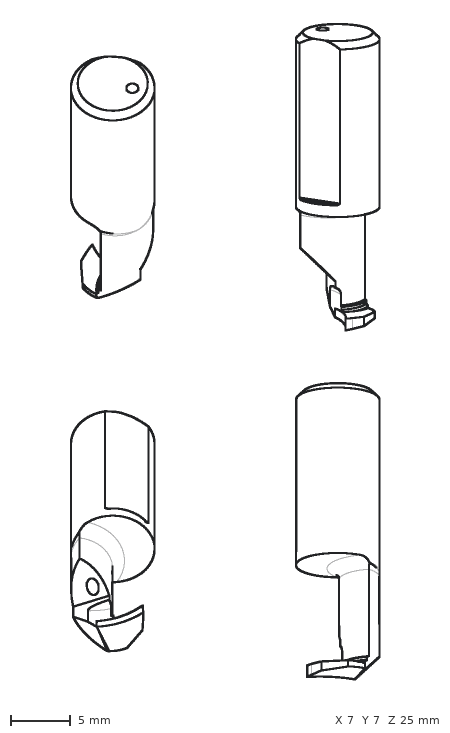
import cadquery as cq
import math


shank_radius = 3.5
total_height = 25.0
shank_bottom = 10.0
top_chamfer = 0.58

flat_direction = 135
flat_distance = 2.88
flat_bottom = 11.0
flat_end_bevel = 0.15

neck_radius = 3.2
neck_left = 0.25
outer_center = shank_radius - neck_radius
inner_center = neck_left + neck_radius
neck_fillet = 1.0
heel_height = 2.18

runout_y = 0.15
runout_height = 3.52

hole_x = 1.42
hole_y = 0.95
hole_diameter = 1.0

collar_top = 1.42
upper_step_height = 1.32
upper_step = 0.18
lower_step_top = 1.08
lower_step_bottom = 0.88
lower_step = 0.35

tip_x = -2.68
tip_y = -0.02
tip_width = 1.02
side_relief = 0.03
depth_relief = 0.05
flank_points = [(-2.48, -0.68), (-1.98, -1.8)]
blade_front_x = -0.05
blade_heel_x = 1.48

groove_middle = (0.25, -0.35)
groove_end = (2.18, runout_y)
groove_top = 2.98
groove_end_radius = 0.62

block_size = 4 * shank_radius


def outer_arc_y(x):
    """Y of the neck's outer arc at x, on its -Y side."""
    return -math.sqrt(neck_radius**2 - (x - outer_center) ** 2)


def half_space(origin, normal):
    """Large block on the side of a plane that its normal points to."""
    plane = cq.Plane(origin=origin, xDir=(normal[2], 0, -normal[0]), normal=normal)
    return cq.Workplane(plane).rect(block_size, block_size).extrude(block_size)


def below_blade():
    """Space under the blade's lower flank, which rises away from the cutting tip."""
    return half_space((tip_x, tip_y, 0), (side_relief, -depth_relief, -1))


def above_blade():
    """Space over the blade's upper flank, which falls away from the cutting tip."""
    return half_space((tip_x, tip_y, tip_width), (side_relief, -depth_relief, 1))


def chip_groove():
    """Cutter with a hollow face and a rounded upper end."""
    cutter = (
        cq.Workplane("XY")
        .moveTo(tip_x, tip_y)
        .threePointArc(groove_middle, groove_end)
        .lineTo(groove_end[0], shank_radius)
        .lineTo(tip_x, shank_radius)
        .close()
        .extrude(groove_top)
    )
    hollow_edge = cq.selectors.NearestToPointSelector((*groove_middle, groove_top))
    return cutter.faces(">Z").edges(hollow_edge).fillet(groove_end_radius)


def shank():
    body = cq.Workplane("XY").workplane(offset=shank_bottom).circle(shank_radius)
    body = body.extrude(total_height - shank_bottom).faces(">Z").chamfer(top_chamfer)
    flat_depth = shank_radius - flat_distance
    flat_cutter = (
        cq.Workplane("XY")
        .box(flat_depth, block_size, block_size, centered=(False, True, False))
        .edges("<X and <Z")
        .chamfer(flat_end_bevel)
        .translate((flat_distance, 0, flat_bottom))
        .rotate((0, 0, 0), (0, 0, 1), flat_direction)
    )
    return body.cut(flat_cutter)


def neck_column(center_x, foot):
    """Round column with a concave flare below the shank and the given foot profile (radius, z)."""
    flare_bottom = shank_bottom - neck_fillet
    flare_middle = neck_fillet * (1 - math.sqrt(0.5))
    profile = (
        cq.Workplane("XZ")
        .polyline([(0, 0), *foot, (neck_radius, flare_bottom)])
        .threePointArc(
            (neck_radius + flare_middle, shank_bottom - flare_middle),
            (neck_radius + neck_fillet, shank_bottom),
        )
        .lineTo(0, shank_bottom)
        .close()
    )
    return profile.revolve(360, (0, 0, 0), (0, 1, 0)).translate((center_x, 0, 0))


def neck():
    """Overlap of the inner and outer columns, kept within the shank's radius."""
    collar_foot = [
        (neck_radius + lower_step, 0),
        (neck_radius + lower_step, lower_step_bottom),
        (neck_radius + upper_step, lower_step_top),
        (neck_radius + upper_step, upper_step_height),
        (neck_radius, collar_top),
    ]
    inner_column = neck_column(inner_center, collar_foot)
    outer_column = neck_column(outer_center, [(neck_radius, 0)])
    envelope = cq.Workplane("XY").circle(shank_radius).extrude(shank_bottom)
    return inner_column.intersect(outer_column).intersect(envelope)


def neck_runout():
    """Removes the +Y half of the neck end and leads out of it at 45 degrees."""
    rise = shank_radius
    return (
        cq.Workplane("YZ")
        .polyline(
            [
                (runout_y, 0),
                (runout_y, runout_height),
                (runout_y + rise, runout_height + rise),
                (runout_y + rise, 0),
            ]
        )
        .close()
        .extrude(block_size, both=True)
    )


def heel():
    """45 degree bevel on the +X side of the neck end."""
    return half_space((shank_radius, 0, heel_height), (1, 0, -1))


def blade_seat():
    """Recess in the neck end that the blade fills."""
    seat = cq.Workplane("XY").box(block_size, block_size, tip_width, centered=(False, True, False))
    return seat.translate((blade_heel_x - block_size, 0, 0)).cut(above_blade())


def make_bar():
    bar = neck()
    for cutter in (neck_runout(), chip_groove(), heel(), below_blade(), blade_seat()):
        bar = bar.cut(cutter)
    bar = bar.union(shank())
    hole = cq.Workplane("XY").center(hole_x, hole_y).circle(hole_diameter / 2).extrude(total_height)
    return bar.cut(hole)


def make_blade():
    arc_middle_x = (blade_front_x + blade_heel_x) / 2
    blade = cq.Workplane("XY").moveTo(tip_x, tip_y)
    for point in flank_points:
        blade = blade.lineTo(*point)
    blade = (
        blade.lineTo(blade_front_x, outer_arc_y(blade_front_x))
        .threePointArc(
            (arc_middle_x, outer_arc_y(arc_middle_x)),
            (blade_heel_x, outer_arc_y(blade_heel_x)),
        )
        .lineTo(blade_heel_x, tip_y)
        .close()
        .extrude(tip_width)
    )
    return blade.cut(chip_groove()).cut(below_blade()).cut(above_blade())


bar = make_bar()
blade = make_blade()
result = cq.Compound.makeCompound([bar.val(), blade.val()])